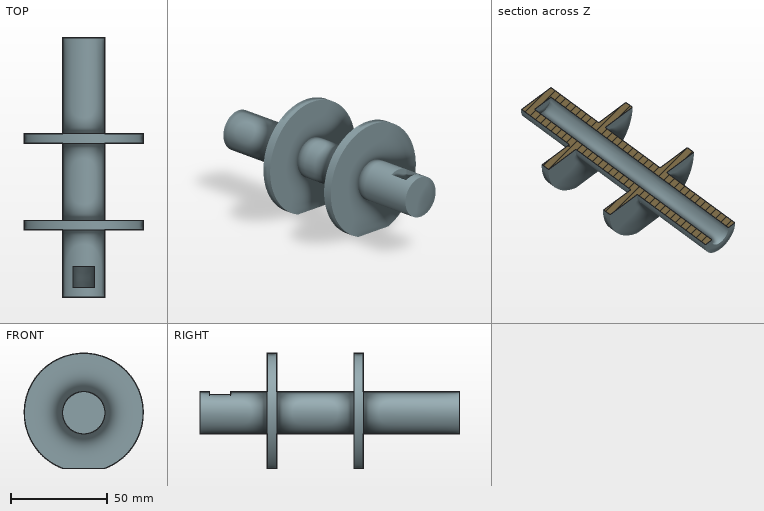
import cadquery as cq

shaft_diameter = 22.0
shaft_length = 135.0

flange_diameter = 62.0
flange_thickness = 5.0
flange_flat_drop = 29.0
flange_starts = (35.0, 80.0)

window_side = shaft_diameter / 2
window_start = 5.0

bore_diameter = 12.0


def rod(diameter, start, length):
    """Cylinder on the shaft axis, running in +Y from Y = start."""
    axis = cq.Vector(0, 1, 0)
    return cq.Workplane(cq.Solid.makeCylinder(diameter / 2, length, cq.Vector(0, start, 0), axis))


def flange(start):
    """Disc on the shaft axis, cut off level below the flat."""
    disc = rod(flange_diameter, start, flange_thickness)
    below_flat = cq.Workplane("XY").box(
        flange_diameter, flange_thickness, flange_diameter, centered=(True, False, False)
    )
    return disc.cut(below_flat.translate((0, start, -flange_flat_drop - flange_diameter)))


def window():
    """Square cutter reaching from the shaft axis up through the top of the shaft."""
    cutter = cq.Workplane("XY").box(
        window_side, window_side, shaft_diameter, centered=(True, False, False)
    )
    return cutter.translate((0, window_start, 0))


result = rod(shaft_diameter, 0, shaft_length)
for flange_start in flange_starts:
    result = result.union(flange(flange_start))
result = result.cut(rod(bore_diameter, window_start, shaft_length - window_start))
result = result.cut(window())